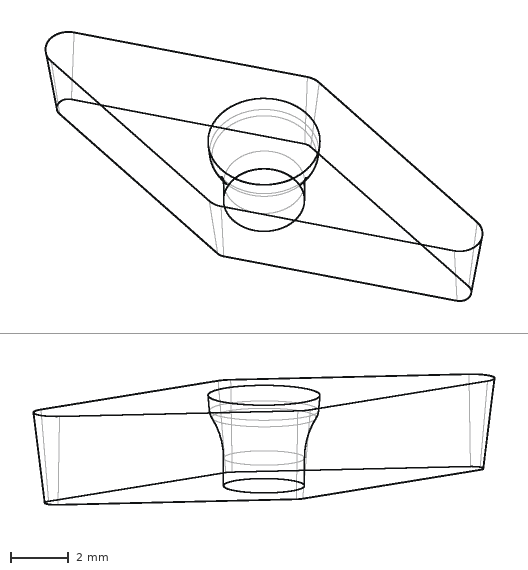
import cadquery as cq
import math

inscribed_diameter = 6.35
point_angle = math.radians(35)
thickness = 3.175
corner_radius = 0.794
clearance_angle = 7

bore_diameter = 2.8
mouth_diameter = 3.87
mouth_depth = 0.53
mouth_slope = math.radians(5)
seat_slope = math.radians(32)
hollow_radius = 0.55

half_height = inscribed_diameter / 2
edge_length = inscribed_diameter / math.sin(point_angle)
lean = inscribed_diameter / math.tan(point_angle)
acute_x = (edge_length + lean) / 2
obtuse_x = (edge_length - lean) / 2


def insert_body():
    """Rhombus with rounded corners, narrowing downward from the top face."""
    corners = [
        (acute_x, half_height),
        (-obtuse_x, half_height),
        (-acute_x, -half_height),
        (obtuse_x, -half_height),
    ]
    sharp = cq.Sketch().polygon(corners + corners[:1])
    outline = sharp.vertices().fillet(corner_radius)
    return (
        cq.Workplane("XY")
        .workplane(offset=thickness)
        .placeSketch(outline)
        .extrude(-thickness, taper=clearance_angle)
    )


def screw_hole():
    """Slightly conical mouth, concave hollow, convex seat and a straight bore, each tangent to the next."""
    mouth_radius = mouth_diameter / 2
    bore_radius = bore_diameter / 2

    hollow_start_r = mouth_radius - mouth_depth * math.tan(mouth_slope)
    hollow_start_z = thickness - mouth_depth

    def hollow_point(slope):
        """Point of the hollow where the wall has the given slope."""
        r = hollow_start_r - hollow_radius * (math.cos(mouth_slope) - math.cos(slope))
        z = hollow_start_z - hollow_radius * (math.sin(slope) - math.sin(mouth_slope))
        return r, z

    seat_start_r, seat_start_z = hollow_point(seat_slope)
    seat_radius = (seat_start_r - bore_radius) / (1 - math.cos(seat_slope))
    seat_end_z = seat_start_z - seat_radius * math.sin(seat_slope)

    def seat_point(slope):
        """Point of the seat where the wall has the given slope."""
        r = bore_radius + seat_radius * (1 - math.cos(slope))
        z = seat_end_z + seat_radius * math.sin(slope)
        return r, z

    hollow_middle = hollow_point((mouth_slope + seat_slope) / 2)
    seat_middle = seat_point(seat_slope / 2)
    return (
        cq.Workplane("XZ")
        .lineTo(bore_radius, 0)
        .lineTo(bore_radius, seat_end_z)
        .threePointArc(seat_middle, (seat_start_r, seat_start_z))
        .threePointArc(hollow_middle, (hollow_start_r, hollow_start_z))
        .lineTo(mouth_radius, thickness)
        .lineTo(0, thickness)
        .close()
        .revolve(360, (0, 0, 0), (0, 1, 0))
    )


result = insert_body().cut(screw_hole())